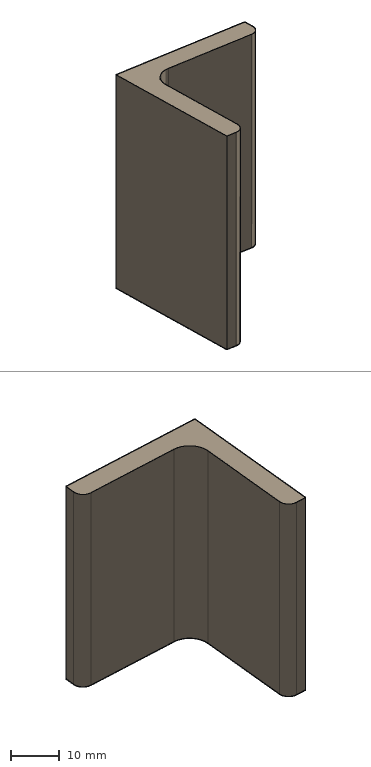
import cadquery as cq

leg_length = 35.0
thickness = 5.0
height = 50.0
root_radius = 5.0
toe_radius = 2.5

section = (
    cq.Workplane("XY")
    .moveTo(0, 0)
    .lineTo(leg_length, 0)
    .lineTo(leg_length, thickness - toe_radius)
    .radiusArc((leg_length - toe_radius, thickness), -toe_radius)
    .lineTo(thickness + root_radius, thickness)
    .radiusArc((thickness, thickness + root_radius), root_radius)
    .lineTo(thickness, leg_length - toe_radius)
    .radiusArc((thickness - toe_radius, leg_length), -toe_radius)
    .lineTo(0, leg_length)
    .close()
)

result = section.extrude(height)